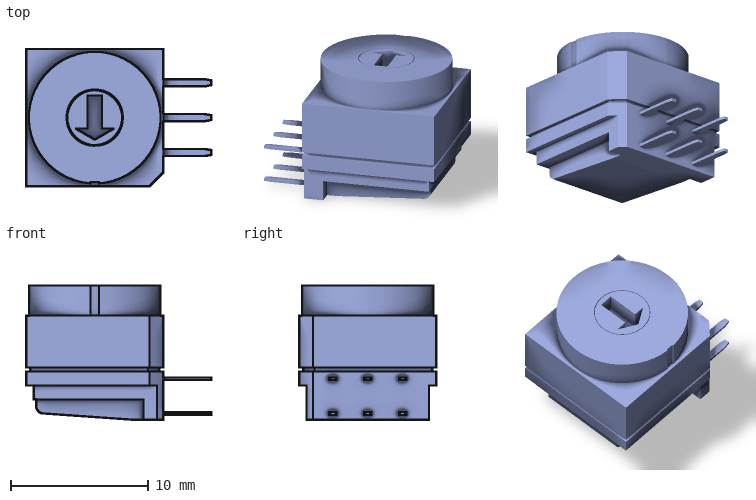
import cadquery as cq


body_size = 10.0
corner_chamfer = 1.0
neck_inset = 0.285
foot_top = 1.5
flange_bottom = 2.5
flange_top = 3.53
cover_bottom = 3.8
cover_top = 7.6

base_width = 8.95
base_left = -4.45
foot_left = 3.55
wedge_width = 6.75
wedge_left = -4.275
wedge_rise = 0.5
wedge_flat_start = 2.8
wedge_radius = 0.55

dial_diameter = 9.6
dial_top = 9.8
notch_width = 0.6
notch_depth = 0.1
ring_inner_diameter = 4.0
ring_outer_diameter = 4.1
ring_depth = 0.2

arrow_half_length = 1.6
arrow_shaft_width = 1.04
arrow_head_width = 2.76
arrow_head_base = -0.8
arrow_depth = 1.5

pin_pitch = 2.54
pin_width = 0.54
pin_tip_width = 0.36
pin_thickness = 0.2
pin_end = 8.5
pin_taper_length = 0.5
lower_row_height = 0.46
row_count = 2
pin_embed = 0.5
pin_root = body_size / 2 - pin_embed


def housing_layer(bottom, top, inset=0.0):
    """Square slab with the +X -Y corner cut off, its outline moved in by inset."""
    half = body_size / 2
    cut = half - corner_chamfer
    outline = cq.Workplane("XY").workplane(offset=bottom).polyline(
        [(-half, -half), (cut, -half), (half, -cut), (half, half), (-half, half)]
    ).close()
    if inset:
        outline = outline.offset2D(-inset, "intersection")
    return outline.extrude(top - bottom)


def base_block(left, bottom, top):
    """Block of base width from left to the +X face."""
    length = body_size / 2 - left
    return (
        cq.Workplane("XY")
        .box(length, base_width, top - bottom, centered=(False, True, False))
        .translate((left, 0, bottom))
    )


def make_base():
    """Step under the flange and full-depth foot, trimmed by the cut-off corner."""
    step = base_block(base_left, foot_top, flange_bottom)
    foot = base_block(foot_left, 0, foot_top)
    return step.union(foot).intersect(housing_layer(0, flange_bottom))


def make_wedge():
    """Sloped block under the step with a rounded lower -X edge."""
    wedge = (
        cq.Workplane("XZ")
        .polyline([
            (wedge_left, foot_top),
            (wedge_left, wedge_rise),
            (wedge_flat_start, 0),
            (foot_left, 0),
            (foot_left, foot_top),
        ])
        .close()
        .extrude(wedge_width / 2, both=True)
    )
    lower_edge = cq.selectors.NearestToPointSelector((wedge_left, 0, wedge_rise))
    return wedge.edges(lower_edge).fillet(wedge_radius)


def make_dial():
    """Round dial with an index notch, a ring groove and an arrow slot."""
    dial = (
        cq.Workplane("XY")
        .workplane(offset=cover_top)
        .circle(dial_diameter / 2)
        .extrude(dial_top - cover_top)
    )
    notch = (
        cq.Workplane("XY")
        .workplane(offset=cover_top)
        .center(0, -dial_diameter / 2)
        .rect(notch_width, 2 * notch_depth)
        .extrude(dial_top - cover_top)
    )
    ring = (
        cq.Workplane("XY")
        .workplane(offset=dial_top)
        .circle(ring_outer_diameter / 2)
        .circle(ring_inner_diameter / 2)
        .extrude(-ring_depth)
    )
    shaft = arrow_shaft_width / 2
    head = arrow_head_width / 2
    arrow = (
        cq.Workplane("XY")
        .workplane(offset=dial_top)
        .polyline([
            (-shaft, arrow_half_length),
            (shaft, arrow_half_length),
            (shaft, arrow_head_base),
            (head, arrow_head_base),
            (0, -arrow_half_length),
            (-head, arrow_head_base),
            (-shaft, arrow_head_base),
        ])
        .close()
        .extrude(-arrow_depth)
    )
    return dial.cut(notch).cut(ring).cut(arrow)


def make_pin(y, z):
    """Flat pin along +X with a tapered tip, centred on the given Y and Z."""
    taper_start = pin_end - pin_taper_length
    return (
        cq.Workplane("XY")
        .polyline([
            (pin_root, -pin_width / 2),
            (taper_start, -pin_width / 2),
            (pin_end, -pin_tip_width / 2),
            (pin_end, pin_tip_width / 2),
            (taper_start, pin_width / 2),
            (pin_root, pin_width / 2),
        ])
        .close()
        .extrude(pin_thickness / 2, both=True)
        .translate((0, y, z))
    )


result = (
    housing_layer(flange_bottom, flange_top)
    .union(housing_layer(flange_top, cover_bottom, neck_inset))
    .union(housing_layer(cover_bottom, cover_top))
    .union(make_base())
    .union(make_wedge())
    .union(make_dial())
)
for row in range(row_count):
    for column in (-1, 0, 1):
        result = result.union(make_pin(column * pin_pitch, lower_row_height + row * pin_pitch))